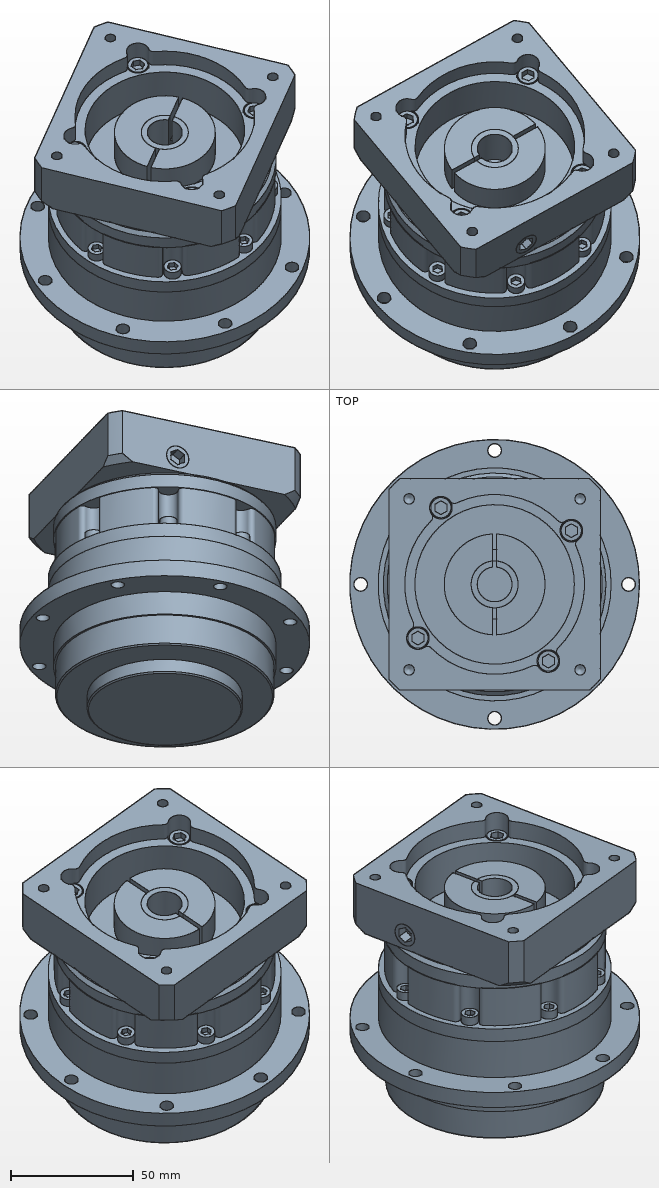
import cadquery as cq
import math

output_boss_top = 6.1
pilot_top = 19.7
flange_bottom = 30.1
flange_top = 37.3
unit_joint = 54.5
rim_top = 60.5
plate_joint = 78.5
cavity_floor = 81.4
square_bottom = 85.8
hub_top = 99.0
ledge = 100.4
plate_top = 108.5

flange_radius = 59.0
body_radius = 47.4
shoulder_radius = 45.3
pilot_radius = 44.5
output_boss_radius = 31.6
edge_chamfer = 0.6
flange_hole_count = 8
flange_hole_radius = 2.7
flange_hole_circle = 54.5

waist_radius = 45.0
spigot_radius = 32.5
pocket_count = 8
pocket_circle = 42.5
pocket_radius = 4.0
pocket_mouth_fillet = 2.0
rim_head_radius = 3.5
rim_head_height = 3.9
rim_socket_flats = 3.8
rim_socket_depth = 2.4

hub_radius = 20.5
hub_neck_radius = 14.2
clamp_height = 13.0
slit_width = 1.7
slit_floor = 84.4
bushing_radius = 9.5
shaft_radius = 7.1

plate_side = 86.1
collar_radius = 45.3
collar_chamfer = 1.5
plate_corner_radius = 57.8
plate_corner_chamfer = 3.0
recess_radius = 36.6
recess_fillet = 2.0
plate_screw_count = 4
plate_screw_circle = 38.1
plate_screw_angle = 35.0
counterbore_radius = 4.6
plate_head_radius = 4.1
plate_head_height = 5.0
plate_socket_flats = 4.8
plate_socket_depth = 3.0
motor_hole_offset = 34.8
motor_hole_radius = 2.1
motor_hole_depth = 14.2
drill_tip_angle = 118.0
plug_offset = 13.8
plug_radius = 5.0
plug_recess = 0.1
plug_socket_flats = 6.0
plug_socket_depth = 5.0


def disc(radius, bottom, top):
    """Cylinder on the gearbox axis between two heights."""
    return cq.Workplane("XY").workplane(offset=bottom).circle(radius).extrude(top - bottom)


def ring_places(count, radius, first_angle):
    """Points spread evenly on a circle about the axis."""
    angles = [math.radians(first_angle + 360 / count * i) for i in range(count)]
    return [(radius * math.cos(a), radius * math.sin(a)) for a in angles]


def pegs(places, radius, bottom, top):
    """Equal upright cylinders at the given places."""
    return cq.Workplane("XY").workplane(offset=bottom).pushPoints(places).circle(radius).extrude(top - bottom)


def hexagon(flats):
    """Corners of a hexagon, given the width across its flats; two corners lie on the second axis."""
    return ring_places(6, flats / math.sqrt(3), 30)


def hex_sockets(places, flats, depth, top):
    """Equal hexagonal prisms reaching down from a height."""
    one = cq.Workplane("XY").polyline(hexagon(flats)).close().extrude(depth)
    sockets = cq.Workplane("XY")
    for x, y in places:
        sockets = sockets.add(one.translate((x, y, top - depth)))
    return sockets.combine()


def make_output_unit():
    """Lower gear housing with its mounting flange and output boss."""
    unit = disc(output_boss_radius, 0, output_boss_top).faces("<Z").chamfer(edge_chamfer)
    pilot = disc(pilot_radius, output_boss_top, pilot_top).faces("<Z").chamfer(edge_chamfer)
    unit = unit.union(pilot)
    unit = unit.union(disc(shoulder_radius, pilot_top, flange_bottom))
    unit = unit.union(disc(flange_radius, flange_bottom, flange_top))
    unit = unit.union(disc(body_radius, flange_top, unit_joint))
    places = ring_places(flange_hole_count, flange_hole_circle, 0)
    return unit.cut(pegs(places, flange_hole_radius, flange_bottom, flange_top))


def screw_pocket():
    """Radial scallop, opening toward +X, with rounded lips at its mouth."""
    lip_x = math.sqrt((waist_radius - pocket_mouth_fillet) ** 2 - (pocket_radius + pocket_mouth_fillet) ** 2)
    lip_y = pocket_radius + pocket_mouth_fillet
    lip_direction = math.atan2(lip_y, lip_x)
    mouth = (waist_radius * math.cos(lip_direction), waist_radius * math.sin(lip_direction))
    middle_direction = (lip_direction - math.pi / 2) / 2
    middle = (
        lip_x + pocket_mouth_fillet * math.cos(middle_direction),
        lip_y + pocket_mouth_fillet * math.sin(middle_direction),
    )
    return (
        cq.Workplane("XY").workplane(offset=rim_top)
        .moveTo(pocket_circle, -pocket_radius)
        .threePointArc((pocket_circle - pocket_radius, 0), (pocket_circle, pocket_radius))
        .lineTo(lip_x, pocket_radius)
        .threePointArc(middle, mouth)
        .lineTo(body_radius, mouth[1])
        .lineTo(body_radius, -mouth[1])
        .lineTo(mouth[0], -mouth[1])
        .threePointArc((middle[0], -middle[1]), (lip_x, -pocket_radius))
        .close()
        .extrude(plate_joint - rim_top)
    )


def make_clamp_hub():
    """Slit clamping hub on a narrower neck, bored for the bushing."""
    hub = disc(hub_neck_radius, cavity_floor, hub_top)
    hub = hub.union(disc(hub_radius, hub_top - clamp_height, hub_top))
    hub = hub.cut(disc(bushing_radius, cavity_floor, hub_top))
    slit_height = hub_top - slit_floor
    slit = cq.Workplane("XY").box(slit_width, 2 * hub_radius, slit_height, centered=(True, True, False))
    return hub.cut(slit.translate((0, 0, slit_floor)))


def make_input_unit():
    """Upper housing with scalloped waist, rim screws, centring spigot and clamping hub."""
    unit = disc(body_radius, unit_joint, rim_top)
    unit = unit.union(disc(waist_radius, rim_top, plate_joint))
    first_angle = 180 / pocket_count
    pocket = screw_pocket()
    for i in range(pocket_count):
        unit = unit.cut(pocket.rotate((0, 0, 0), (0, 0, 1), first_angle + 360 / pocket_count * i))

    places = ring_places(pocket_count, pocket_circle, first_angle)
    head_top = rim_top + rim_head_height
    unit = unit.union(pegs(places, rim_head_radius, rim_top, head_top))
    unit = unit.cut(hex_sockets(places, rim_socket_flats, rim_socket_depth, head_top))

    unit = unit.union(disc(spigot_radius, plate_joint, cavity_floor))
    return unit.union(make_clamp_hub())


def make_bushing():
    """Motor shaft bushing, slit on its +Y side."""
    bushing = disc(bushing_radius, cavity_floor, hub_top).cut(disc(shaft_radius, cavity_floor, hub_top))
    slit = cq.Workplane("XY").box(
        slit_width, bushing_radius, hub_top - cavity_floor, centered=(True, False, False)
    )
    return bushing.cut(slit.translate((0, 0, cavity_floor)))


def motor_holes():
    """Blind tapped holes with drill tips at the corners of the plate."""
    tip_depth = motor_hole_radius / math.tan(math.radians(drill_tip_angle / 2))
    profile = [
        (0, 0),
        (motor_hole_radius, 0),
        (motor_hole_radius, -motor_hole_depth),
        (0, -motor_hole_depth - tip_depth),
    ]
    one = cq.Workplane("XZ").polyline(profile).close().revolve(360, (0, 0, 0), (0, 1, 0))
    holes = cq.Workplane("XY")
    for x in (-motor_hole_offset, motor_hole_offset):
        for y in (-motor_hole_offset, motor_hole_offset):
            holes = holes.add(one.translate((x, y, plate_top)))
    return holes.combine()


def cut_plug(plate):
    """Hexagon-socket plug set just under the -X face of the plate."""
    plug_height = hub_top - clamp_height / 2
    face = cq.Workplane("YZ", origin=(-plate_side / 2, plug_offset, plug_height))
    plate = plate.cut(face.circle(plug_radius).extrude(plug_recess))
    return plate.cut(face.polyline(hexagon(plug_socket_flats)).close().extrude(plug_socket_depth))


def recess_cutter(places):
    """Round recess joined to the screw counterbores, with rounded inner corners."""
    cutter = disc(recess_radius, ledge, plate_top)
    cutter = cutter.union(pegs(places, counterbore_radius, ledge, plate_top))
    tolerance = 0.01

    def is_corner(edge):
        """True for an upright edge where a counterbore meets the round recess."""
        spot = edge.Center()
        on_recess = abs(math.hypot(spot.x, spot.y) - recess_radius) < tolerance
        gaps = [math.hypot(spot.x - x, spot.y - y) - counterbore_radius for x, y in places]
        return on_recess and min(abs(gap) for gap in gaps) < tolerance

    return cutter.edges("|Z").filter(is_corner).fillet(recess_fillet)


def make_adapter_plate():
    """Square motor plate on a round collar, with turned corners, stepped bore and recessed screws."""
    square_height = plate_top - square_bottom
    plate = cq.Workplane("XY").box(plate_side, plate_side, square_height, centered=(True, True, False))
    plate = plate.translate((0, 0, square_bottom))
    turned = disc(plate_corner_radius, square_bottom, plate_top).faces("<Z").chamfer(plate_corner_chamfer)
    plate = plate.intersect(turned)
    plate = plate.union(disc(collar_radius, plate_joint, square_bottom).faces(">Z").chamfer(collar_chamfer))
    plate = plate.cut(disc(spigot_radius, plate_joint, plate_top))

    places = ring_places(plate_screw_count, plate_screw_circle, plate_screw_angle)
    head_bottom = ledge - plate_head_height
    plate = plate.cut(recess_cutter(places))
    plate = plate.cut(pegs(places, counterbore_radius, head_bottom, ledge))
    plate = plate.union(pegs(places, plate_head_radius, head_bottom, ledge))
    plate = plate.cut(hex_sockets(places, plate_socket_flats, plate_socket_depth, ledge))

    plate = plate.cut(motor_holes())
    return cut_plug(plate)


output_unit = make_output_unit()
input_unit = make_input_unit()
adapter_plate = make_adapter_plate()
bushing = make_bushing()

result = cq.Compound.makeCompound(
    [output_unit.val(), input_unit.val(), adapter_plate.val(), bushing.val()]
)